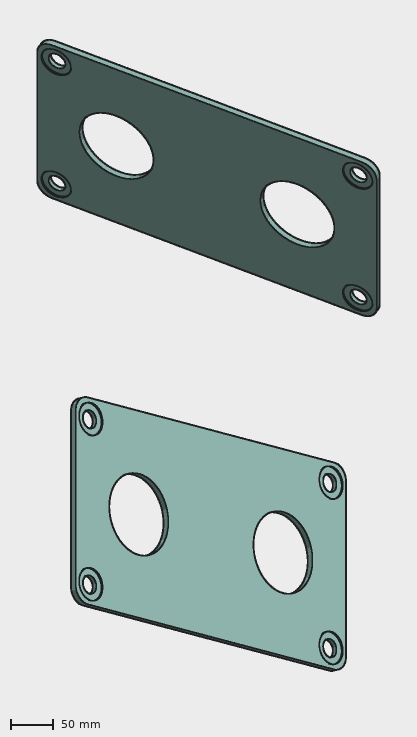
import cadquery as cq

length = 450
height = 250.0
thickness = 8.0
corner_radius = 20.0

opening_diameter = 98.0
opening_spacing = 240.0

hole_edge_distance = 25.0
hole_diameter = 22.0
counterbore_diameter = 39.0
counterbore_depth = 2.0

hole_spacing_x = length - 2 * hole_edge_distance
hole_spacing_z = height - 2 * hole_edge_distance


def make_plate():
    """Rounded rectangular plate centred on the origin."""
    plate = cq.Workplane("XZ").box(length, height, thickness)
    return plate.edges("|Y").fillet(corner_radius)


def cut_openings(plate):
    """Cut the pair of round openings through the plate."""
    return (
        plate.faces("<Y").workplane(origin=(0, 0, 0))
        .rarray(opening_spacing, 4.5, 2, 1)
        .hole(opening_diameter)
    )


def cut_mounting_holes(plate):
    """Cut the four corner holes, counterbored from the -Y face."""
    return (
        plate.faces("<Y").workplane(origin=(0, 0, 0))
        .rarray(hole_spacing_x, hole_spacing_z, 2, 2)
        .cboreHole(hole_diameter, counterbore_diameter, counterbore_depth)
    )


result = cut_mounting_holes(cut_openings(make_plate()))